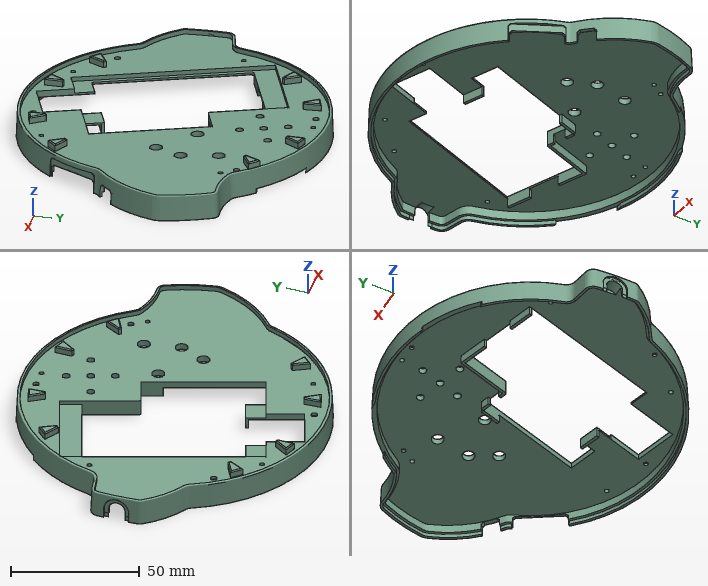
import cadquery as cq
import math

lip_top = 10.3
mark_top = 11.2
plate_top = 8.4
plate_bottom = 5.7
recess_floor = 6.6
rebate_top = 1.8

body_radius = 61.55
wall_thickness = 2.1
lip_inset = 1.5
rebate_wall = 1.0
wall_draft = 0.5
lip_rounding = 0.37

display_turn = 20
recess_left = -38.2
recess_near = -35.4
recess_far = 44.7
window_left = -36.5
window_right = -0.1
window_near = -27.5
window_far = 36
side_bay_right = 12.6
side_bay_far = 13.0
cable_slot_left = -27.9
cable_slot_right = -9.1
cable_slot_near = -50.4
corner_rounding = 0.9

rib_thickness = 1.2
side_bay_rib_length = 8.7
far_rib_short = 10.8
far_rib_long = 11.7
bay_rib_near_window = 3.3
bay_rib_near_corner = 3.7

mark_inner_radius = 50.1
mark_outer_radius = 56.8
mark_tip_width = 1.3
mark_base_width = 5.2
mark_chamfer = 0.5
mark_angles = [45, 72, 108, 135, 225, 252, 288, 315]

hole_circle_radius = 54.95
pin_hole_diameter = 1.8
pin_hole_angles = [31, 90, 163, 238, 302]
stepped_hole_diameter = 2.4
stepped_hole_depth = 1.2
stepped_hole_angles = [38, 98, 216, 280]

indicator_diameter = 3
indicator_u = 17.0
indicator_v = 32.5
indicator_pitch_u = 10.8
indicator_pitch_v = 9.52

button_diameter = 5.0
button_centres = [(32.2, 24.5), (15.1, 12.3), (35.1, 9.9), (30.1, -0.9)]

port_y = -2.2
port_axis_z = 3.9
port_radius = 3.37
port_recess_radius = 5.17
port_recess_depth = 1.0
port_depth = 6

port_overrun = 6
wide_port_place = dict(centre=(53.0, -29.5), direction=-29)
wide_recess_size = dict(width=22.5, height=8.2, depth=0.7)
wide_port_size = dict(width=21.6, height=5.1, depth=2.7)
small_port_place = dict(centre=(63.7, -13.6), direction=-45)
small_port_size = dict(width=7.6, height=5.5, depth=2.4)
port_corner_chamfer = 1.0

gap_near_y = 42
gap_far_y = 57


def on_circle(radius, angle):
    return radius * math.cos(math.radians(angle)), radius * math.sin(math.radians(angle))


def true_arc_wire(wire):
    """The same wire with each curved edge as a true arc, so that it can be offset cleanly."""
    edges = []
    for edge in wire.Edges():
        start, middle, end = edge.positions([0, 0.5, 1])
        if edge.geomType() == "LINE":
            edges.append(cq.Edge.makeLine(start, end))
        else:
            edges.append(cq.Edge.makeThreePointArc(start, middle, end))
    return cq.Wire.assembleEdges(edges)


def outline():
    """Round body with two side lobes, its corners rounded, as a wire at Z = 0."""
    left_far = on_circle(body_radius, 169.3)
    left_tip_far = (-72.4, 8.7)
    left_end = (-72.9, -1.5)
    left_tip_near = (-72.4, -12)
    left_near_bow = (-64.2, -20.7)
    left_near = on_circle(body_radius, 204.7)
    right_near = on_circle(body_radius, -17.4)
    right_near_bow = (69.5, -7.2)
    right_tip_near = (77.2, 9.3)
    right_end_bow = (74.5, 20.7)
    right_tip_far = (69.4, 32.5)
    right_far_bow = (60.3, 32.0)
    right_far = on_circle(body_radius, 33.7)
    rough = (
        cq.Workplane("XY")
        .moveTo(*left_far)
        .lineTo(*left_tip_far)
        .threePointArc(left_end, left_tip_near)
        .threePointArc(left_near_bow, left_near)
        .threePointArc((0, -body_radius), right_near)
        .threePointArc(right_near_bow, right_tip_near)
        .threePointArc(right_end_bow, right_tip_far)
        .threePointArc(right_far_bow, right_far)
        .threePointArc((0, body_radius), left_far)
        .close()
        .extrude(1.5)
    )
    corner_radii = [
        (left_far, 3.9),
        (left_tip_far, 4.2),
        (left_tip_near, 3),
        (left_near, 3.3),
        (right_near, 3),
        (right_tip_near, 7.5),
        (right_tip_far, 3.7),
        (right_far, 3.7),
    ]
    for (x, y), radius in corner_radii:
        rough = rough.edges(cq.NearestToPointSelector((x, y, 0.7))).fillet(radius)
    return true_arc_wire(rough.faces("<Z").wires().val())


base_wire = outline()


def slab(inset, bottom, top):
    """Straight-sided slab whose edge lies inside the base outline by the inset."""
    wire = base_wire.offset2D(-inset)[0]
    return cq.Workplane("XY").add(wire).toPending().extrude(top - bottom).translate((0, 0, bottom))


def turned_box(left, right, near, far, bottom, top):
    """Box in the turned display frame."""
    return (
        cq.Workplane("XY")
        .box(right - left, far - near, top - bottom, centered=False)
        .translate((left, near, bottom))
        .rotate((0, 0, 0), (0, 0, 1), display_turn)
    )


def turned_point(u, v):
    turn = math.radians(display_turn)
    return u * math.cos(turn) - v * math.sin(turn), u * math.sin(turn) + v * math.cos(turn)


def shell():
    """Drafted wall with a raised lip, a plate inside it and a rebate at the bottom."""
    draft_angle = math.degrees(math.atan2(wall_draft, lip_top))
    body = cq.Workplane("XY").add(base_wire).toPending().extrude(lip_top, taper=draft_angle)
    body = body.faces(">Z").edges().fillet(lip_rounding)
    body = body.cut(slab(lip_inset, plate_top, mark_top))
    body = body.cut(slab(wall_thickness, 0, plate_bottom))
    return body.cut(slab(rebate_wall, 0, rebate_top))


def display_ribs():
    """Ribs hanging under the plate along the edges of the display opening."""
    spans = [
        (window_left, window_left + far_rib_short, window_far, window_far + rib_thickness),
        (window_right - far_rib_long, window_right, window_far, window_far + rib_thickness),
        (window_right, window_right + rib_thickness, side_bay_far, window_far + rib_thickness),
        (window_right, window_right + bay_rib_near_window, side_bay_far, side_bay_far + rib_thickness),
        (side_bay_right - bay_rib_near_corner, side_bay_right, side_bay_far, side_bay_far + rib_thickness),
        (side_bay_right, side_bay_right + rib_thickness, side_bay_far - side_bay_rib_length, side_bay_far),
        (cable_slot_right, window_right, window_near - rib_thickness, window_near),
    ]
    ribs = cq.Workplane("XY")
    for left, right, near, far in spans:
        ribs = ribs.add(turned_box(left, right, near, far, rebate_top, recess_floor))
    return ribs.combine()


def display_opening():
    """Stepped opening: a shallow recess, the window, a side bay and a cable slot."""
    recess = turned_box(recess_left, window_right, recess_near, recess_far, recess_floor, lip_top)
    window = turned_box(window_left, window_right, window_near, window_far, 0, lip_top)
    side_bay = turned_box(window_right, side_bay_right, recess_near, side_bay_far, 0, lip_top)
    cable_slot = turned_box(cable_slot_left, cable_slot_right, cable_slot_near, window_near, 0, lip_top)
    opening = recess.union(window).union(side_bay).union(cable_slot)
    bay_corner = (*turned_point(window_right, side_bay_far), plate_bottom)
    return opening.edges("|Z").edges(cq.NearestToPointSelector(bay_corner)).fillet(corner_rounding)


def pointer_marks():
    half_tip = mark_tip_width / 2
    half_base = mark_base_width / 2
    mark = (
        cq.Workplane("XY", origin=(0, 0, plate_top))
        .polyline([
            (mark_inner_radius, -half_tip),
            (mark_outer_radius, -half_base),
            (mark_outer_radius, half_base),
            (mark_inner_radius, half_tip),
        ])
        .close()
        .extrude(mark_top - plate_top)
        .faces(">Z")
        .chamfer(mark_chamfer)
    )
    marks = cq.Workplane("XY")
    for angle in mark_angles:
        marks = marks.add(mark.rotate((0, 0, 0), (0, 0, 1), angle))
    return marks.combine()


def holes(centres, diameter, bottom=0):
    return (
        cq.Workplane("XY", origin=(0, 0, bottom))
        .pushPoints(centres)
        .circle(diameter / 2)
        .extrude(lip_top - bottom)
    )


def plate_holes():
    pins = [on_circle(hole_circle_radius, a) for a in pin_hole_angles + stepped_hole_angles]
    steps = [on_circle(hole_circle_radius, a) for a in stepped_hole_angles]
    cross = [(0, 0), (1, 0), (-1, 0), (0, 1), (0, -1)]
    indicators = [
        turned_point(indicator_u + i * indicator_pitch_u, indicator_v + j * indicator_pitch_v)
        for i, j in cross
    ]
    cutters = holes(pins, pin_hole_diameter)
    cutters = cutters.add(holes(steps, stepped_hole_diameter, plate_top - stepped_hole_depth))
    cutters = cutters.add(holes(indicators, indicator_diameter))
    return cutters.add(holes(button_centres, button_diameter)).combine()


def arch(radius, depth):
    """Round-topped slot running in from the left end of the part and open at the bottom."""
    left_end = base_wire.BoundingBox().xmin
    return (
        cq.Workplane("YZ", origin=(left_end, port_y, 0))
        .moveTo(-radius, 0)
        .lineTo(-radius, port_axis_z)
        .threePointArc((0, port_axis_z + radius), (radius, port_axis_z))
        .lineTo(radius, 0)
        .close()
        .extrude(depth)
    )


def wall_port(centre, direction, width, height, depth):
    """Rectangular port with chamfered top corners, open at the bottom."""
    return (
        cq.Workplane("XY")
        .box(depth + port_overrun, width, height, centered=(False, True, False))
        .translate((-depth, 0, 0))
        .edges("|X and >Z")
        .chamfer(port_corner_chamfer)
        .rotate((0, 0, 0), (0, 0, 1), direction)
        .translate((*centre, 0))
    )


def bottom_gap():
    return (
        cq.Workplane("XY")
        .box(2 * body_radius, gap_far_y - gap_near_y, rebate_top, centered=(True, False, False))
        .translate((0, gap_near_y, 0))
    )


result = (
    shell()
    .union(display_ribs())
    .cut(display_opening())
    .union(pointer_marks())
    .cut(plate_holes())
    .cut(arch(port_recess_radius, port_recess_depth))
    .cut(arch(port_radius, port_depth))
    .cut(wall_port(**wide_port_place, **wide_recess_size))
    .cut(wall_port(**wide_port_place, **wide_port_size))
    .cut(wall_port(**small_port_place, **small_port_size))
    .cut(bottom_gap())
)